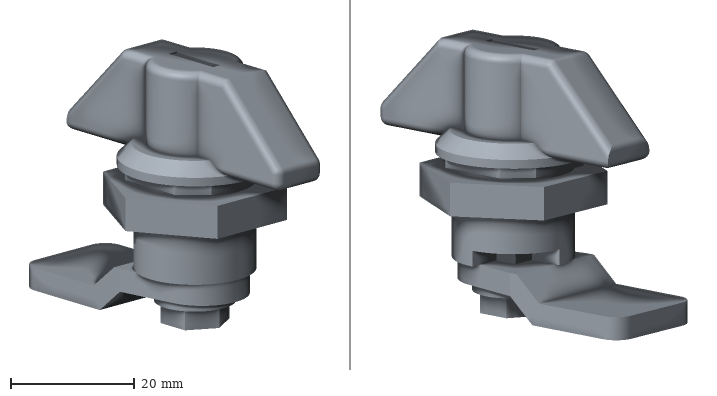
import cadquery as cq
import math


BOLT_ACROSS_FLATS = 9.95
BOLT_HEX_HEIGHT = 3.5
BOLT_FLANGE_DIAMETER = 13.35
BOLT_FLANGE_HEIGHT = 1.7

CAM_THICKNESS = 3.85
CAM_WIDTH = 19.05
CAM_LENGTH_TO_TIP = 30.95
CAM_CORNER_RADIUS = 3.2
CAM_DROP = 4.15
CAM_BEND_RUN = 4.8
CAM_TOP_BEND = 9.05
CAM_BOTTOM_BEND = 7.65
CAM_HUB_RADIUS = 7.75
CAM_HUB_CENTER_X = 1.75

BARREL_DIAMETER = 20.0
BARREL_HEIGHT = 15.6
COLLAR_WIDTH = 20.1
COLLAR_FLAT_LENGTH = 11.7
COLLAR_HEIGHT = 1.9
FLANGE_DIAMETER = 25.4
FLANGE_HEIGHT = 1.45
CONE_TOP_DIAMETER = 20.65
CONE_HEIGHT = 2.2
NOTCH_HEIGHT = 2.6
DRIVE_WIDTH = 8.15

TOTAL_HEIGHT = 44.3
HANDLE_HALF_LENGTH = 24.9
HANDLE_WIDTH = 10.15
HANDLE_TOP_LENGTH = 24.35
HANDLE_END_HEIGHT = 3.5
HANDLE_FILLET = 1.4
HUB_DIAMETER = 15.85
SLOT_LENGTH = 10.5
SLOT_WIDTH = 1.85
SLOT_DEPTH = 0.3

NUT_ACROSS_CORNERS = 31.1
NUT_HEIGHT = 5.6
NUT_BOTTOM = 18.35

CAM_BOTTOM = BOLT_HEX_HEIGHT + BOLT_FLANGE_HEIGHT
BARREL_BOTTOM = CAM_BOTTOM + CAM_THICKNESS
COLLAR_BOTTOM = BARREL_BOTTOM + BARREL_HEIGHT
FLANGE_BOTTOM = COLLAR_BOTTOM + COLLAR_HEIGHT
CONE_BOTTOM = FLANGE_BOTTOM + FLANGE_HEIGHT


def cylinder(diameter, height, bottom):
    return cq.Workplane("XY").workplane(offset=bottom).circle(diameter / 2).extrude(height)


def make_bolt():
    across_corners = BOLT_ACROSS_FLATS / math.cos(math.radians(30))
    head = cq.Workplane("XY").polygon(6, across_corners).extrude(BOLT_HEX_HEIGHT)
    return head.union(cylinder(BOLT_FLANGE_DIAMETER, BOLT_FLANGE_HEIGHT, BOLT_HEX_HEIGHT))


def make_cam():
    hub_end = CAM_HUB_CENTER_X + CAM_HUB_RADIUS

    arm_bottom = CAM_BOTTOM - CAM_DROP
    profile = (
        cq.Workplane("XZ")
        .moveTo(-CAM_LENGTH_TO_TIP, arm_bottom)
        .lineTo(-CAM_BOTTOM_BEND - CAM_BEND_RUN, arm_bottom)
        .lineTo(-CAM_BOTTOM_BEND, CAM_BOTTOM)
        .lineTo(hub_end, CAM_BOTTOM)
        .lineTo(hub_end, BARREL_BOTTOM)
        .lineTo(-CAM_TOP_BEND, BARREL_BOTTOM)
        .lineTo(-CAM_TOP_BEND - CAM_BEND_RUN, BARREL_BOTTOM - CAM_DROP)
        .lineTo(-CAM_LENGTH_TO_TIP, BARREL_BOTTOM - CAM_DROP)
        .close()
        .extrude(CAM_WIDTH / 2, both=True)
        .edges("|Z and <X")
        .fillet(CAM_CORNER_RADIUS)
    )

    half_width = CAM_WIDTH / 2
    taper_length = CAM_BOTTOM_BEND + CAM_HUB_CENTER_X
    corner_angle = math.pi - math.atan2(half_width, taper_length)
    corner_distance = math.hypot(half_width, taper_length)
    contact_angle = corner_angle - math.acos(CAM_HUB_RADIUS / corner_distance)
    contact_x = CAM_HUB_CENTER_X + CAM_HUB_RADIUS * math.cos(contact_angle)
    contact_y = CAM_HUB_RADIUS * math.sin(contact_angle)
    outline = (
        cq.Workplane("XY")
        .moveTo(-CAM_LENGTH_TO_TIP, -half_width)
        .lineTo(-CAM_BOTTOM_BEND, -half_width)
        .lineTo(contact_x, -contact_y)
        .threePointArc((hub_end, 0), (contact_x, contact_y))
        .lineTo(-CAM_BOTTOM_BEND, half_width)
        .lineTo(-CAM_LENGTH_TO_TIP, half_width)
        .close()
        .extrude(BARREL_BOTTOM)
    )
    return profile.intersect(outline)


def make_handle():
    """Wing and hub, with rounded edges and an index slot in the top."""
    height = TOTAL_HEIGHT - CONE_BOTTOM
    end_top = CONE_BOTTOM + HANDLE_END_HEIGHT
    wing = (
        cq.Workplane("XZ")
        .moveTo(-HANDLE_HALF_LENGTH, CONE_BOTTOM)
        .lineTo(HANDLE_HALF_LENGTH, CONE_BOTTOM)
        .lineTo(HANDLE_HALF_LENGTH, end_top)
        .lineTo(HANDLE_TOP_LENGTH / 2, TOTAL_HEIGHT)
        .lineTo(-HANDLE_TOP_LENGTH / 2, TOTAL_HEIGHT)
        .lineTo(-HANDLE_HALF_LENGTH, end_top)
        .close()
        .extrude(HANDLE_WIDTH / 2, both=True)
    )
    handle = wing.union(cylinder(HUB_DIAMETER, height, CONE_BOTTOM))

    ridge_middle = (HANDLE_TOP_LENGTH / 2, 0, TOTAL_HEIGHT)
    rounded_edges = cq.selectors.SubtractSelector(
        cq.StringSyntaxSelector("((not |Z) or >X) exc (%CIRCLE and <Z)"),
        cq.NearestToPointSelector(ridge_middle),
    )
    handle = handle.edges(rounded_edges).fillet(HANDLE_FILLET)

    slot = (
        cq.Workplane("XY")
        .workplane(offset=TOTAL_HEIGHT - SLOT_DEPTH)
        .rect(SLOT_LENGTH, SLOT_WIDTH)
        .extrude(SLOT_DEPTH)
    )
    return handle.cut(slot)


def make_notch():
    radius = BARREL_DIAMETER / 2
    quarter = (
        cq.Workplane("XY")
        .workplane(offset=BARREL_BOTTOM)
        .rect(-radius, radius, centered=False)
        .extrude(NOTCH_HEIGHT)
    )
    drive = (
        cq.Workplane("XY")
        .workplane(offset=BARREL_BOTTOM)
        .rect(DRIVE_WIDTH, DRIVE_WIDTH)
        .extrude(NOTCH_HEIGHT)
    )
    return quarter.cut(drive)


def make_lock_body():
    barrel = cylinder(BARREL_DIAMETER, BARREL_HEIGHT, BARREL_BOTTOM)
    collar = (
        cq.Workplane("XY")
        .workplane(offset=COLLAR_BOTTOM)
        .rect(COLLAR_WIDTH, COLLAR_WIDTH)
        .extrude(COLLAR_HEIGHT)
        .edges("|Z")
        .chamfer((COLLAR_WIDTH - COLLAR_FLAT_LENGTH) / 2)
    )
    flange = cylinder(FLANGE_DIAMETER, FLANGE_HEIGHT, FLANGE_BOTTOM)
    cone = (
        cq.Workplane("XY")
        .workplane(offset=CONE_BOTTOM)
        .circle(FLANGE_DIAMETER / 2)
        .workplane(offset=CONE_HEIGHT)
        .circle(CONE_TOP_DIAMETER / 2)
        .loft(ruled=True)
    )
    body = barrel.union(collar).union(flange).union(cone).union(make_handle())
    return body.cut(make_notch())


def make_nut():
    hexagon = (
        cq.Workplane("XY")
        .workplane(offset=NUT_BOTTOM)
        .transformed(rotate=(0, 0, 30))
        .polygon(6, NUT_ACROSS_CORNERS)
        .extrude(NUT_HEIGHT)
    )
    return hexagon.cut(cylinder(BARREL_DIAMETER, NUT_HEIGHT, NUT_BOTTOM))


lock_body = make_lock_body()
nut = make_nut()
cam = make_cam()
bolt = make_bolt()

result = cq.Compound.makeCompound([lock_body.val(), nut.val(), cam.val(), bolt.val()])